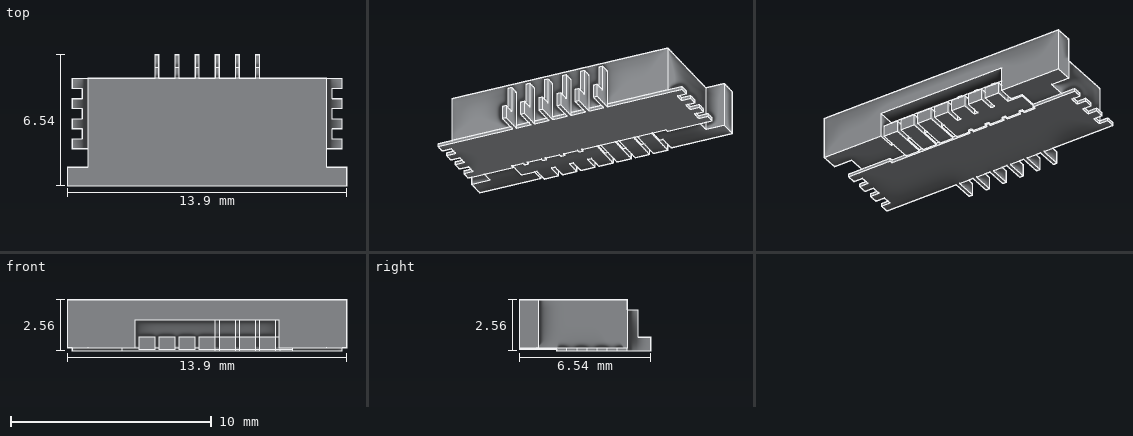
import cadquery as cq

overall_width = 13.92
overall_depth = 6.54
overall_height = 2.56

body_bottom = 0.17
housing_width = 11.89
housing_back = 5.37
front_bar_depth = 0.95

opening_width = 7.17
opening_top = 1.55

pitch = 1.0
tooth_count = 7
tooth_width = 0.8
tooth_bottom = 0.08
tooth_top = 0.71

pin_count = 6
pin_width = pitch - tooth_width
pin_shoulder_back = 5.9
pin_shoulder_top = 2.06
pin_foot_top = 0.7

tab_front = 1.85
finger_length = 0.5
finger_count = 4
tab_back = tab_front + (2 * finger_count - 1) * finger_length
tab_width = 13.45
tab_root_width = 12.45
tab_inner_width = 8.5

base_setback = 0.17
base_front = tab_front + base_setback

blade_count = 4
blade_step = 0.04
blade_upper_front = front_bar_depth - blade_step
blade_lower_front = blade_upper_front - blade_step


def block(x_min, x_max, y_min, y_max, z_min, z_max):
    """Axis-aligned block between the given limits."""
    size = (x_max - x_min, y_max - y_min, z_max - z_min)
    return cq.Workplane("XY").box(*size, centered=False).translate((x_min, y_min, z_min))


def centred_block(width, y_min, y_max, z_min, z_max, x_centre=0):
    """Block of the given width, symmetric about x_centre."""
    return block(x_centre - width / 2, x_centre + width / 2, y_min, y_max, z_min, z_max)


def side_profile(x_centre, points):
    """Plate of pin width around x_centre, cut to a YZ outline."""
    plate = cq.Workplane("YZ").polyline(points).close().extrude(pin_width / 2, both=True)
    return plate.translate((x_centre, 0, 0))


def row(count):
    """X places of a row of items at the common pitch, centred on X = 0."""
    return [(i - (count - 1) / 2) * pitch for i in range(count)]


def make_body():
    housing = centred_block(housing_width, 0, housing_back, body_bottom, overall_height)
    front_bar = centred_block(overall_width, 0, front_bar_depth, body_bottom, overall_height)
    opening = centred_block(opening_width, 0, front_bar_depth, 0, opening_top)
    base = centred_block(tab_inner_width, base_front, tab_back, 0, body_bottom)
    return housing.union(front_bar).cut(opening).union(base)


def make_tooth(x_centre):
    return centred_block(tooth_width, 0, base_front, tooth_bottom, tooth_top, x_centre)


def make_pin(x_centre):
    """Stepped pin leaving the rear of the housing, with a low foot."""
    outline = [
        (base_front, 0),
        (overall_depth, 0),
        (overall_depth, pin_foot_top),
        (pin_shoulder_back, pin_foot_top),
        (pin_shoulder_back, pin_shoulder_top),
        (base_front, pin_shoulder_top),
    ]
    return side_profile(x_centre, outline)


def make_blade(x_centre):
    """Contact blade between two teeth, stepped at the tooth top and bottom."""
    outline = [
        (tab_front, 0),
        (base_front, 0),
        (base_front, opening_top),
        (blade_upper_front, opening_top),
        (blade_upper_front, tooth_top),
        (blade_lower_front, tooth_top),
        (blade_lower_front, tooth_bottom),
        (tab_front, tooth_bottom),
    ]
    return side_profile(x_centre, outline)


def make_ledge():
    """Thin ledge under the housing, from the last blade to the +X solder tab."""
    x_limits = (opening_width / 2, tab_inner_width / 2)
    return block(*x_limits, blade_lower_front, base_front, tooth_bottom, body_bottom)


def make_tabs():
    """Comb-shaped solder tabs on both sides."""
    tabs = centred_block(tab_width, tab_front, tab_back, 0, body_bottom)
    tabs = tabs.cut(centred_block(tab_inner_width, tab_front, tab_back, 0, body_bottom))
    for i in range(finger_count - 1):
        gap_start = tab_front + (2 * i + 1) * finger_length
        gap_end = gap_start + finger_length
        for side in (-1, 1):
            x_limits = sorted((side * tab_root_width / 2, side * tab_width / 2))
            tabs = tabs.cut(block(*x_limits, gap_start, gap_end, 0, body_bottom))
    return tabs


result = make_body().union(make_tabs()).union(make_ledge())
for x in row(tooth_count):
    result = result.union(make_tooth(x))
for x in row(pin_count):
    result = result.union(make_pin(x))
for i in range(blade_count):
    result = result.union(make_blade((i + 0.5) * pitch))